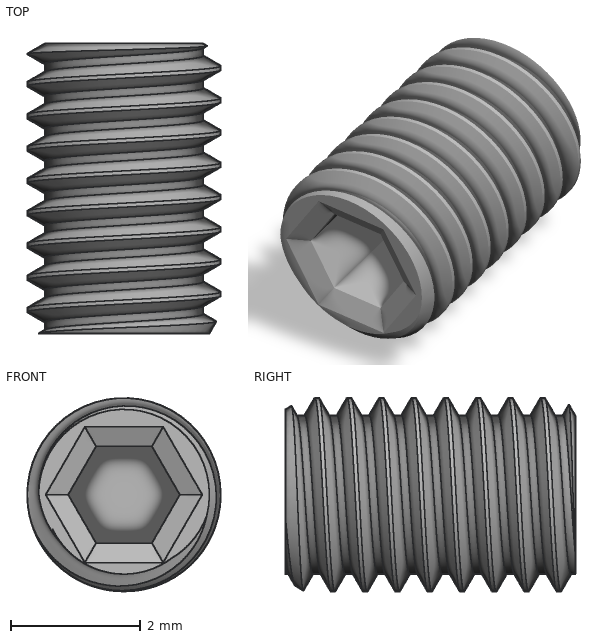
import cadquery as cq
import math

length = 4.5
diameter = 3.0
radius = diameter / 2

turns = 9
pitch = length / turns
flank_angle = 30
flank_slope = math.tan(math.radians(flank_angle))
sharp_height = pitch / 2 / flank_slope
thread_depth = sharp_height * 5 / 8
root_radius = radius - thread_depth
root_flat = pitch / 4
groove_overshoot = 0.025

socket_chamfer_angle = 30
point_chamfer_angle = 60
socket_end_radius = 1.325
socket_chamfer_length = (radius - socket_end_radius) / math.tan(math.radians(socket_chamfer_angle))
point_end_radius = 1.215
point_chamfer_length = (radius - point_end_radius) / math.tan(math.radians(point_chamfer_angle))

lead_in_angle = 30
socket_across_flats = 1.5
lead_in_across_flats = 2.1
lead_in_width = (lead_in_across_flats - socket_across_flats) / 2
lead_in_depth = lead_in_width * math.tan(math.radians(lead_in_angle))
socket_depth = 2.0

socket_end = -length / 2
point_end = length / 2

thread_shift = 0.0112
groove_start = socket_end - pitch - thread_shift
groove_turns = turns + 2


def make_blank():
    """Round bar along Y with a chamfer on each end."""
    return (
        cq.Workplane("XY")
        .moveTo(0, socket_end)
        .lineTo(socket_end_radius, socket_end)
        .lineTo(radius, socket_end + socket_chamfer_length)
        .lineTo(radius, point_end - point_chamfer_length)
        .lineTo(point_end_radius, point_end)
        .lineTo(0, point_end)
        .close()
        .revolve(360, (0, 0, 0), (0, 1, 0))
    )


def make_turn(helix_radius, start):
    """One turn of a helix around Y, starting on the -Z side at a place along Y."""
    plane = cq.Plane(origin=(0, start, 0), xDir=(0, 0, -1), normal=(0, 1, 0))
    return cq.Wire.makeHelix(pitch, pitch, helix_radius).moved(cq.Location(plane))


def make_thread_groove():
    """Helical groove that runs past both ends of the bar."""
    outer_radius = radius + groove_overshoot
    root_half_width = root_flat / 2
    mouth_half_width = root_half_width + (outer_radius - root_radius) * flank_slope

    section = [
        (root_radius, -root_half_width),
        (outer_radius, -mouth_half_width),
        (outer_radius, mouth_half_width),
        (root_radius, root_half_width),
    ]

    faces = []
    for turn in range(groove_turns):
        turn_start = groove_start + turn * pitch
        helices = [make_turn(corner_radius, turn_start + offset) for corner_radius, offset in section]
        for index, helix in enumerate(helices):
            previous_helix = helices[index - 1]
            faces.append(cq.Face.makeRuledSurface(previous_helix.Edges()[0], helix.Edges()[0]))

    for end in (groove_start, groove_start + groove_turns * pitch):
        outline = [cq.Vector(0, end + offset, -corner_radius) for corner_radius, offset in section]
        faces.append(cq.Face.makeFromWires(cq.Wire.makePolygon(outline, close=True)))

    return cq.Workplane(cq.Solid.makeSolid(cq.Shell.makeShell(faces)))


def hexagon(across_flats, depth):
    """Hexagon at a depth below the socket end, with two flats facing up and down."""
    across_corners = across_flats / math.cos(math.radians(30))
    plane = cq.Plane(origin=(0, socket_end + depth, 0), xDir=(1, 0, 0), normal=(0, 1, 0))
    return cq.Workplane(plane).polygon(6, across_corners)


def make_socket():
    """Straight hexagon hole with a tapered hexagon mouth."""
    straight = hexagon(socket_across_flats, 0).extrude(socket_depth)
    mouth = hexagon(lead_in_across_flats, 0).wires().val()
    throat = hexagon(socket_across_flats, lead_in_depth).wires().val()
    lead_in = cq.Workplane(cq.Solid.makeLoft([mouth, throat], True))
    return straight.union(lead_in)


result = make_blank().cut(make_thread_groove()).cut(make_socket())